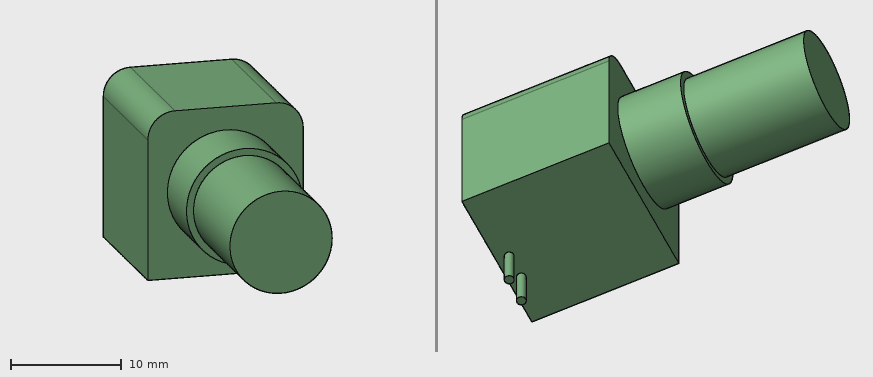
import cadquery as cq

housing_length = 14.73
housing_width = 14.58
housing_height = 15.75
top_edge_radius = 2.54

axis_height = 8.12
collar_diameter = 10.92
collar_length = 6.29
barrel_diameter = 9.6
barrel_length = 12.0

pin_diameter = 0.89
pin_length = 3.81
pin_pitch = 2.54
pin_setback = 1.27
first_pin_y = -0.07
pin_count = 2


def make_housing():
    """Block with its two long upper edges rounded."""
    block = cq.Workplane("XY").box(
        housing_length, housing_width, housing_height, centered=(False, True, False)
    )
    return block.edges("|X and >Z").fillet(top_edge_radius)


def make_nose_cylinder(diameter, reach):
    """Cylinder on the connector axis, from the housing front face along +X."""
    front_face = cq.Workplane("YZ", origin=(housing_length, 0, axis_height))
    return front_face.circle(diameter / 2).extrude(reach)


def make_pin(y):
    """Round pin hanging from the housing underside."""
    underside = cq.Workplane("XY", origin=(pin_setback, y, 0))
    return underside.circle(pin_diameter / 2).extrude(-pin_length)


result = make_housing()
result = result.union(make_nose_cylinder(collar_diameter, collar_length))
result = result.union(make_nose_cylinder(barrel_diameter, collar_length + barrel_length))
for index in range(pin_count):
    result = result.union(make_pin(first_pin_y + index * pin_pitch))